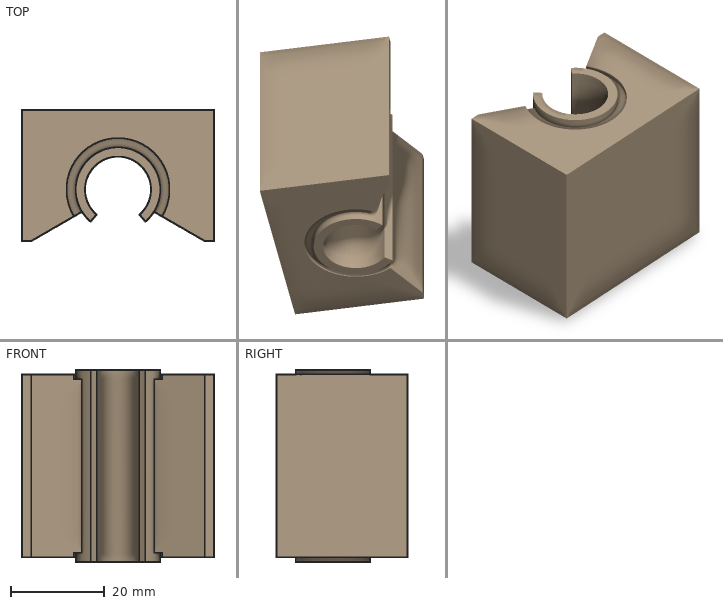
import cadquery as cq
import math

width = 41.0
depth = 28.0
housing_height = 39.0
sleeve_height = 41.0
axis_to_front = 11.0

bore_radius = 7.0
sleeve_radius = 9.0
recess_radius = 11.0
recess_depth = 1.0

front_land = 2.0
flare_angle = 30.0
sleeve_gap_angle = 81.0


def centred_cylinder(radius, height):
    return cq.Workplane("XY").circle(radius).extrude(height / 2, both=True)


def wedge(half_width, apex_y, base_y, height):
    """Triangular prism with its apex at the back and its base at the front."""
    return (
        cq.Workplane("XY")
        .polyline([(0, apex_y), (-half_width, base_y), (half_width, base_y)])
        .close()
        .extrude(height / 2, both=True)
    )


def make_housing():
    block = cq.Workplane("XY").box(width, depth, housing_height)
    block = block.translate((0, depth / 2 - axis_to_front, 0))

    mouth_half_width = width / 2 - front_land
    mouth_depth = mouth_half_width * math.tan(math.radians(flare_angle))
    mouth = wedge(mouth_half_width, mouth_depth - axis_to_front, -axis_to_front, housing_height)
    block = block.cut(mouth).cut(centred_cylinder(sleeve_radius, housing_height))

    recess = centred_cylinder(recess_radius, housing_height)
    recess = recess.cut(centred_cylinder(recess_radius, housing_height - 2 * recess_depth))
    return block.cut(recess)


def make_sleeve():
    tube = centred_cylinder(sleeve_radius, sleeve_height)
    tube = tube.cut(centred_cylinder(bore_radius, sleeve_height))

    slot_half_width = axis_to_front * math.tan(math.radians(sleeve_gap_angle / 2))
    return tube.cut(wedge(slot_half_width, 0, -axis_to_front, sleeve_height))


result = make_housing().union(make_sleeve())